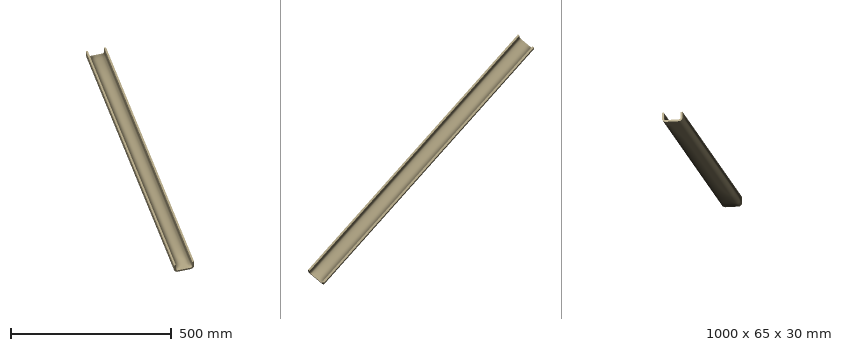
import cadquery as cq

length = 1000.0
width = 65.0
height = 30.0
thickness = 6.0
inner_bend_radius = 6.0

outer_bend_radius = inner_bend_radius + thickness


def rounded_bar(bar_width, bottom, bend_radius):
    """Full-length bar up to the flange tops, with its two lower long edges rounded."""
    bar_height = height - bottom
    bar = cq.Workplane("XY").box(length, bar_width, bar_height, centered=(True, True, False))
    return bar.faces("<Z").edges("|X").fillet(bend_radius).translate((0, 0, bottom))


outer_bar = rounded_bar(width, 0.0, outer_bend_radius)
trough = rounded_bar(width - 2 * thickness, thickness, inner_bend_radius)

result = outer_bar.cut(trough)